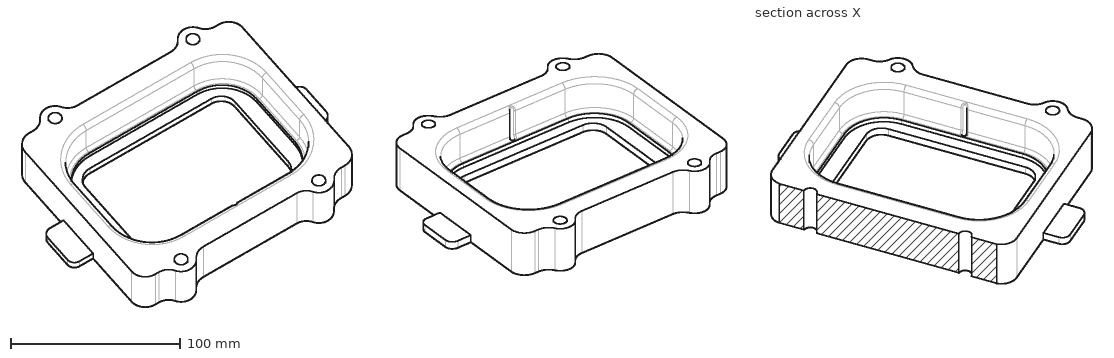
import cadquery as cq
import math

overall_width = 146.0
overall_length = 188.0
height = 30.0

lug_radius = 9.0
lug_blend_radius = 10.0
hole_diameter = 8.0
lug_offset_y = 50.0

body_width = overall_width - 2 * lug_radius
body_length = 158.0
body_corner_radius = 10.0

tab_width = 30.0
tab_thickness = 5.0
tab_corner_radius = 5.0

recess_width = 95.9
recess_length = 136.1
recess_corner_radius = 29.0
recess_floor_z = 8.0
rim_round_radius = 3.0
floor_fillet_radius = 2.0

ledge_inset = 3.4
ledge_z = 5.0

window_width = 74.3
window_length = 108.5
window_corner_radius = 10.0

notch_diameter = 3.0
notch_lip_radius = 1.0

pick_margin = 0.2


def rounded_block(width, length, radius, bottom, top):
    """Upright block centred on the Z axis with rounded vertical corners."""
    block = cq.Workplane("XY").workplane(offset=bottom).rect(width, length).extrude(top - bottom)
    return block.edges("|Z").fillet(radius)


def edges_within(half_x, half_y, bottom, top, center_x=0):
    """Selector for the edges that lie wholly inside a box centred on y = 0."""
    reach_x = half_x + pick_margin
    reach_y = half_y + pick_margin
    return cq.selectors.BoxSelector(
        (center_x - reach_x, -reach_y, bottom - pick_margin),
        (center_x + reach_x, reach_y, top + pick_margin),
        boundingbox=True,
    )


def lug(side, center_y):
    """Screw lug centred on a long side and blended into it by two concave arcs."""
    edge_x = side * body_width / 2
    inner_x = edge_x - side * lug_radius
    tip_x = edge_x + side * lug_radius

    center_distance = lug_radius + lug_blend_radius
    blend_x = edge_x + side * lug_blend_radius
    blend_y = math.sqrt(center_distance**2 - lug_blend_radius**2)

    tangent_share = lug_radius / center_distance
    tangent_x = edge_x + side * lug_blend_radius * tangent_share
    tangent_y = blend_y * tangent_share

    half_sweep = math.atan2(blend_y, lug_blend_radius) / 2
    middle_x = blend_x - side * lug_blend_radius * math.cos(half_sweep)
    middle_y = blend_y - lug_blend_radius * math.sin(half_sweep)

    return (
        cq.Workplane("XY")
        .moveTo(inner_x, center_y - blend_y)
        .lineTo(edge_x, center_y - blend_y)
        .threePointArc((middle_x, center_y - middle_y), (tangent_x, center_y - tangent_y))
        .threePointArc((tip_x, center_y), (tangent_x, center_y + tangent_y))
        .threePointArc((middle_x, center_y + middle_y), (edge_x, center_y + blend_y))
        .lineTo(inner_x, center_y + blend_y)
        .close()
        .extrude(height)
    )


def cut_recess(body):
    """Cut the recess with a filleted floor and a rounded rim."""
    tool = rounded_block(recess_width, recess_length, recess_corner_radius, recess_floor_z, height)
    tool = tool.faces("<Z").edges().fillet(floor_fillet_radius)
    rim = edges_within(recess_width / 2, recess_length / 2, height, height)
    return body.cut(tool).edges(rim).fillet(rim_round_radius)


def cut_ledge_and_window(body):
    """Step the recess floor down to the ledge and open the window through it."""
    ledge = rounded_block(
        recess_width - 2 * ledge_inset,
        recess_length - 2 * ledge_inset,
        recess_corner_radius - ledge_inset,
        ledge_z,
        height,
    )
    window = rounded_block(window_width, window_length, window_corner_radius, 0, height)
    return body.cut(ledge).cut(window)


def cut_notch(body):
    """Cut the notch down the recess wall to ledge level and round its lip."""
    wall_x = recess_width / 2
    radius = notch_diameter / 2
    tool = cq.Workplane("XY").workplane(offset=ledge_z).center(wall_x, 0).circle(radius).extrude(height)
    near_notch = edges_within(radius, radius, ledge_z, height, wall_x)

    lip = body.cut(tool).edges(near_notch).filter(
        lambda edge: edge.geomType() == "BSPLINE" or abs(edge.Center().y) > radius / 2
    )
    return lip.fillet(notch_lip_radius)


lug_places = [(side, end * lug_offset_y) for side in (-1, 1) for end in (-1, 1)]
frame = rounded_block(body_width, body_length, body_corner_radius, 0, height)
for side, center_y in lug_places:
    frame = frame.union(lug(side, center_y))
frame = frame.union(rounded_block(tab_width, overall_length, tab_corner_radius, 0, tab_thickness))

frame = cut_recess(frame)
frame = cut_ledge_and_window(frame)

hole_centers = [(side * body_width / 2, center_y) for side, center_y in lug_places]
holes = cq.Workplane("XY").pushPoints(hole_centers).circle(hole_diameter / 2).extrude(height)
frame = frame.cut(holes)

result = cut_notch(frame)